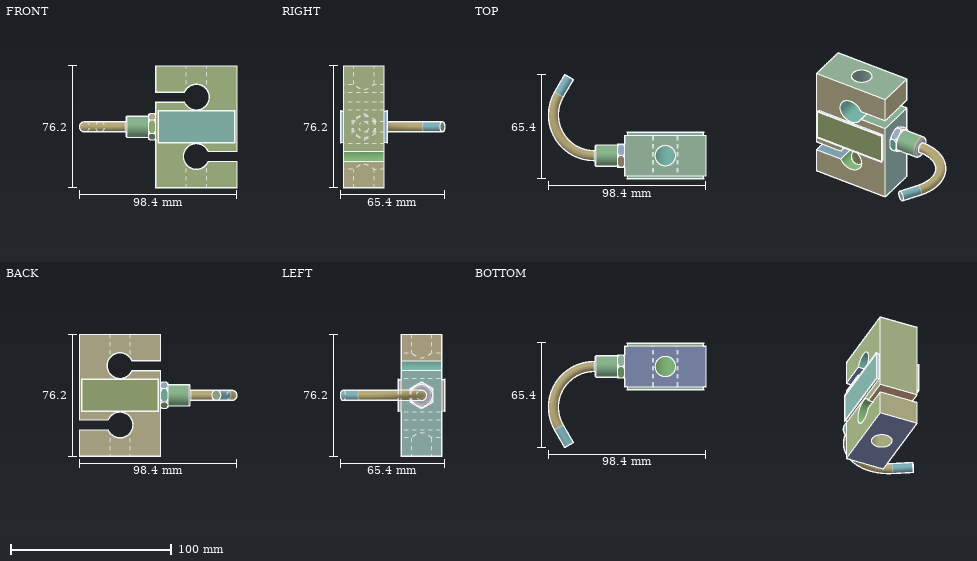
import cadquery as cq
import math

UNIT = 25.4
BODY_LENGTH = 2 * UNIT
BODY_DEPTH = UNIT
BODY_HEIGHT = 3 * UNIT
MOUNT_HOLE_DIAMETER = UNIT / 2

BORE_RADIUS = 8.0
BORE_OFFSET = 18.5
SLOT_HEIGHT = 6.1

COVER_LENGTH = 48.1
COVER_HEIGHT = 20.5
COVER_THICKNESS = 0.3
COVER_OVERHANG = 0.4
COVER_PROTRUSION = 2.0

NUT_ACROSS_FLATS = 14.5
NUT_LENGTH = 4.4
NUT_END_RADIUS = 7.6
NUT_CHAMFER_LENGTH = 1.1
BARREL_DIAMETER = 13.5
BARREL_LENGTH = 14.0
BARREL_FILLET = 1.0

CABLE_DIAMETER = 6.4
CABLE_LEAD = 0.64
CABLE_BEND_RADIUS = UNIT
CABLE_BEND_ANGLE = 120
CABLE_TAIL = UNIT / 2

NUT_FACE_X = -BODY_LENGTH / 2
BARREL_FACE_X = NUT_FACE_X - NUT_LENGTH
CABLE_FACE_X = BARREL_FACE_X - BARREL_LENGTH


def plane_facing_left(x):
    """Plane at the given X, with its normal along -X and its local x along +Y."""
    return cq.Plane(origin=(x, 0, 0), xDir=(0, 1, 0), normal=(-1, 0, 0))


def slotted_bore(side):
    """Cutter for one half: above and open to -X for side 1, below and open to +X for side -1."""
    z = side * BORE_OFFSET
    bore = cq.Workplane("XZ").center(0, z).circle(BORE_RADIUS).extrude(BODY_DEPTH / 2, both=True)
    slot = cq.Workplane("XY").box(BODY_LENGTH / 2, BODY_DEPTH, SLOT_HEIGHT)
    return bore.union(slot.translate((-side * BODY_LENGTH / 4, 0, z)))


def mount_hole(side):
    """Cutter from the top (1) or bottom (-1) face to the axis of the nearest bore."""
    depth = BODY_HEIGHT / 2 - BORE_OFFSET
    start = cq.Workplane("XY").workplane(offset=side * BORE_OFFSET)
    return start.circle(MOUNT_HOLE_DIAMETER / 2).extrude(side * depth)


def make_body():
    body = cq.Workplane("XY").box(BODY_LENGTH, BODY_DEPTH, BODY_HEIGHT)
    for side in (1, -1):
        body = body.cut(slotted_bore(side)).cut(mount_hole(side))
    return body


def make_cover(side):
    """Pad and cover plate on the +Y (1) or -Y (-1) face."""
    pad_thickness = COVER_PROTRUSION - COVER_THICKNESS
    pad_length = COVER_LENGTH - 2 * COVER_OVERHANG
    pad_height = COVER_HEIGHT - 2 * COVER_OVERHANG
    pad_y = BODY_DEPTH / 2 + pad_thickness / 2
    plate_y = BODY_DEPTH / 2 + pad_thickness + COVER_THICKNESS / 2
    pad = cq.Workplane("XY").box(pad_length, pad_thickness, pad_height)
    plate = cq.Workplane("XY").box(COVER_LENGTH, COVER_THICKNESS, COVER_HEIGHT)
    return pad.translate((0, side * pad_y, 0)).union(plate.translate((0, side * plate_y, 0)))


def make_nut():
    """Hexagon with corners on the Z axis, its corners bevelled at both ends."""
    corner_radius = NUT_ACROSS_FLATS / math.sqrt(3)
    hexagon = (
        cq.Workplane(plane_facing_left(NUT_FACE_X))
        .transformed(rotate=(0, 0, 90))
        .polygon(6, 2 * corner_radius)
        .extrude(NUT_LENGTH)
    )
    bevel_envelope = (
        cq.Workplane("XZ")
        .moveTo(NUT_FACE_X, 0)
        .lineTo(NUT_FACE_X, NUT_END_RADIUS)
        .lineTo(NUT_FACE_X - NUT_CHAMFER_LENGTH, corner_radius)
        .lineTo(BARREL_FACE_X + NUT_CHAMFER_LENGTH, corner_radius)
        .lineTo(BARREL_FACE_X, NUT_END_RADIUS)
        .lineTo(BARREL_FACE_X, 0)
        .close()
        .revolve(360, (0, 0, 0), (1, 0, 0))
    )
    return hexagon.intersect(bevel_envelope)


def make_barrel():
    barrel = cq.Workplane(plane_facing_left(BARREL_FACE_X)).circle(BARREL_DIAMETER / 2)
    return barrel.extrude(BARREL_LENGTH).faces("<X").edges().fillet(BARREL_FILLET)


def make_cable():
    bend_x = CABLE_FACE_X - CABLE_LEAD

    def bend_point(degrees):
        angle = math.radians(degrees)
        x = bend_x - CABLE_BEND_RADIUS * math.sin(angle)
        y = CABLE_BEND_RADIUS * (1 - math.cos(angle))
        return x, y

    end_angle = math.radians(CABLE_BEND_ANGLE)
    bend_end = bend_point(CABLE_BEND_ANGLE)
    tail_end = (
        bend_end[0] - CABLE_TAIL * math.cos(end_angle),
        bend_end[1] + CABLE_TAIL * math.sin(end_angle),
    )
    path = (
        cq.Workplane("XY")
        .moveTo(CABLE_FACE_X, 0)
        .lineTo(bend_x, 0)
        .threePointArc(bend_point(CABLE_BEND_ANGLE / 2), bend_end)
        .lineTo(*tail_end)
    )
    section = cq.Workplane(plane_facing_left(CABLE_FACE_X)).circle(CABLE_DIAMETER / 2)
    return section.sweep(path)


result = make_body()
for feature in (make_cover(1), make_cover(-1), make_nut(), make_barrel(), make_cable()):
    result = result.union(feature)